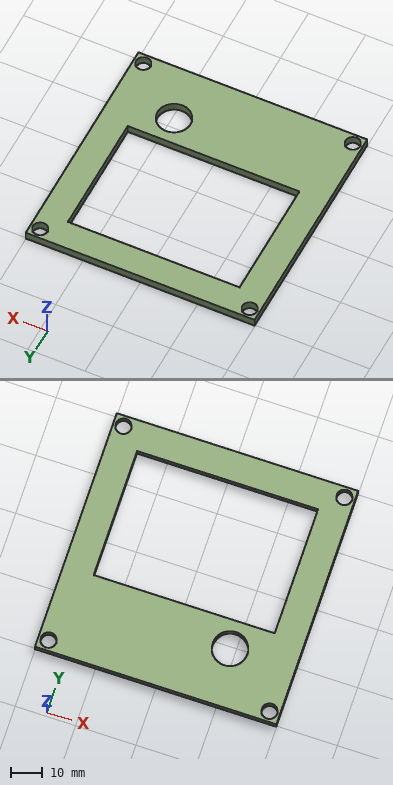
import cadquery as cq

plate_width = 80.0
plate_depth = 80.7
plate_thickness = 3.0

window_width = 60.0
window_depth = 42.85
window_center_y = 9.2

opening_diameter = 11.45
opening_center = (18.3, -21.5)

mount_diameter = 5.1
mount_edge_distance = 3.4
mount_spacing_x = plate_width - 2 * mount_edge_distance
mount_spacing_y = plate_depth - 2 * mount_edge_distance

plate = cq.Workplane("XY").rect(plate_width, plate_depth).extrude(plate_thickness)

window = (
    cq.Workplane("XY")
    .center(0, window_center_y)
    .rect(window_width, window_depth)
    .extrude(plate_thickness)
)

opening = (
    cq.Workplane("XY")
    .center(*opening_center)
    .circle(opening_diameter / 2)
    .extrude(plate_thickness)
)

mount_holes = (
    cq.Workplane("XY")
    .rect(mount_spacing_x, mount_spacing_y, forConstruction=True)
    .vertices()
    .circle(mount_diameter / 2)
    .extrude(plate_thickness)
)

result = plate.cut(window).cut(opening).cut(mount_holes)